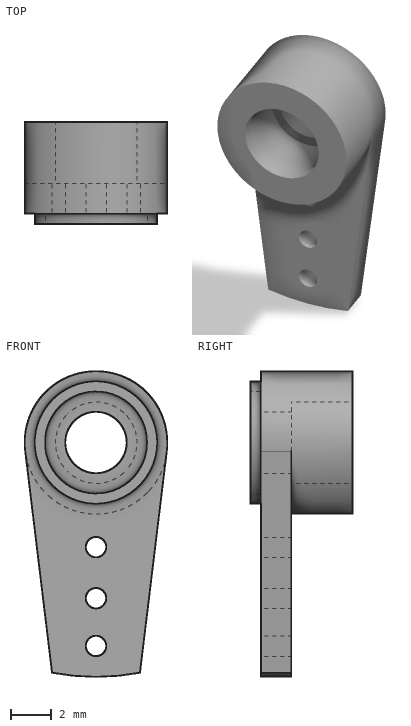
import cadquery as cq
import math

hub_diameter = 7.0
hub_radius = hub_diameter / 2
hub_depth = 4.5
bore_radius = 1.5

socket_radius = 1.99

ring_outer_radius = 3.0
ring_inner_radius = 2.5
ring_height = 0.51
recess_depth = 0.51

overall_height = 14.98
arm_thickness = 1.5
arm_end_radius = overall_height - hub_radius
arm_end_half_width = 2.15
arm_hole_radius = 0.5
arm_hole_distances = (5.12, 7.62, 9.96)


def cylinder(radius, front, depth, z=0.0):
    """Cylinder along Y, reaching back by depth from the plane Y = front."""
    plane = cq.Workplane("XZ", origin=(0, front, z))
    return plane.circle(radius).extrude(-depth)


def make_arm():
    """Tapered arm with sides tangent to the hub and an end arc about the hub axis."""
    corner_x = arm_end_half_width
    corner_z = -math.sqrt(arm_end_radius**2 - corner_x**2)

    corner_angle = math.atan2(-corner_z, corner_x)
    tangent_angle = corner_angle - math.acos(hub_radius / arm_end_radius)
    tangent_x = hub_radius * math.cos(tangent_angle)
    tangent_z = -hub_radius * math.sin(tangent_angle)

    return (
        cq.Workplane("XZ")
        .moveTo(-tangent_x, tangent_z)
        .lineTo(-corner_x, corner_z)
        .threePointArc((0, -arm_end_radius), (corner_x, corner_z))
        .lineTo(tangent_x, tangent_z)
        .threePointArc((0, hub_radius), (-tangent_x, tangent_z))
        .close()
        .extrude(-arm_thickness)
    )


ring_front = -ring_height
total_depth = hub_depth + ring_height
result = cylinder(hub_radius, 0, hub_depth).union(make_arm())
result = result.union(cylinder(ring_outer_radius, ring_front, total_depth))

result = result.cut(cylinder(ring_inner_radius, ring_front, recess_depth))
result = result.cut(cylinder(bore_radius, ring_front, total_depth))

result = result.cut(cylinder(socket_radius, arm_thickness, hub_depth - arm_thickness))

for distance in arm_hole_distances:
    result = result.cut(cylinder(arm_hole_radius, 0, arm_thickness, -distance))